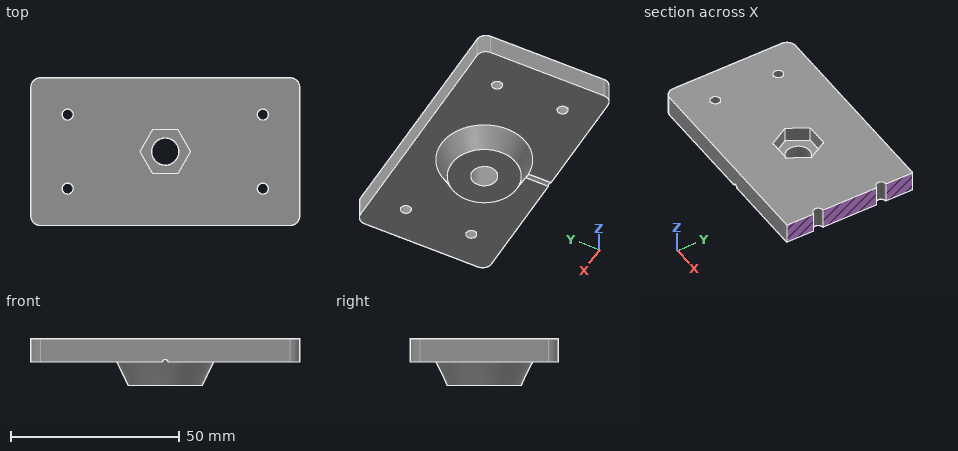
import cadquery as cq
import math

length = 80.0
width = 44.0
overall_height = 14.0
plate_thickness = overall_height / 2
boss_height = overall_height - plate_thickness
corner_radius = 3.0

boss_base_diameter = 28.8
boss_tip_diameter = 22.0

bolt_diameter = 8.0
nut_across_flats = 13.0
nut_across_corners = nut_across_flats / math.cos(math.pi / 6)
nut_pocket_depth = 5.0

mount_diameter = 3.2
mount_spacing_x = 58.0
mount_spacing_y = 22.0

groove_diameter = 1.6

boss_root_height = groove_diameter / 2
boss_taper = (boss_base_diameter - boss_tip_diameter) / boss_height
boss_root_diameter = boss_base_diameter + boss_taper * boss_root_height


def make_plate():
    plate = cq.Workplane("XY").box(length, width, plate_thickness, centered=(True, True, False))
    return plate.edges("|Z").fillet(corner_radius)


def make_boss():
    return (
        cq.Workplane("XY", origin=(0, 0, boss_root_height))
        .circle(boss_root_diameter / 2)
        .workplane(offset=-(boss_root_height + boss_height))
        .circle(boss_tip_diameter / 2)
        .loft()
    )


def make_bolt_hole():
    return cq.Workplane("XY", origin=(0, 0, -boss_height)).circle(bolt_diameter / 2).extrude(overall_height)


def make_nut_pocket():
    return (
        cq.Workplane("XY", origin=(0, 0, plate_thickness))
        .polygon(6, nut_across_corners)
        .extrude(-nut_pocket_depth)
    )


def make_mount_holes():
    return (
        cq.Workplane("XY")
        .rect(mount_spacing_x, mount_spacing_y, forConstruction=True)
        .vertices()
        .circle(mount_diameter / 2)
        .extrude(plate_thickness)
    )


def make_groove():
    return cq.Workplane("XZ").circle(groove_diameter / 2).extrude(width / 2)


result = (
    make_plate()
    .cut(make_groove())
    .union(make_boss())
    .cut(make_bolt_hole())
    .cut(make_nut_pocket())
    .cut(make_mount_holes())
)